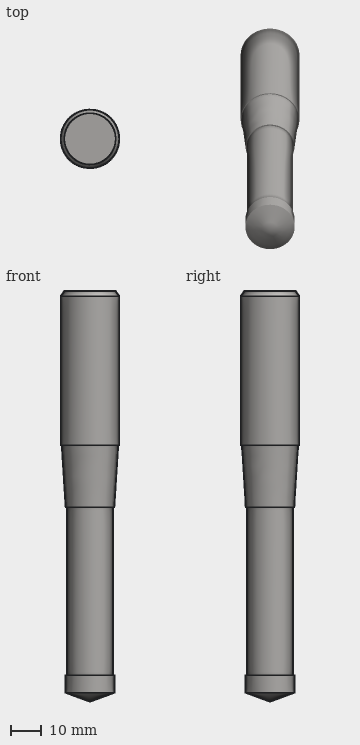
import cadquery as cq

TOTAL_LENGTH = 132.9
SHANK_LENGTH = 50.0
TAPER_LENGTH = 20.1
TIP_TOP = 8.6
POINT_HEIGHT = 2.9

SHANK_DIAMETER = 19.0
TAPER_TOP_DIAMETER = 18.3
TIP_DIAMETER = 16.0
TAPER_BOTTOM_DIAMETER = 15.8
NECK_DIAMETER = 15.0

CHAMFER_WIDTH = 1.2
CHAMFER_HEIGHT = 1.7

POINT_Z = -TOTAL_LENGTH / 2
TIP_TOP_Z = POINT_Z + TIP_TOP
SHANK_TOP_Z = TOTAL_LENGTH / 2
SHANK_BOTTOM_Z = SHANK_TOP_Z - SHANK_LENGTH
TAPER_BOTTOM_Z = SHANK_BOTTOM_Z - TAPER_LENGTH


def revolve_profile(points):
    """Turn a closed (radius, z) outline about the Z axis."""
    return cq.Workplane("XZ").polyline(points).close().revolve(360, (0, 0), (0, 1))


def make_holder():
    """Chamfered shank, tapered shoulder and slim neck, turned as one body."""
    shank_radius = SHANK_DIAMETER / 2
    neck_radius = NECK_DIAMETER / 2
    return revolve_profile([
        (0, TIP_TOP_Z),
        (neck_radius, TIP_TOP_Z),
        (neck_radius, TAPER_BOTTOM_Z),
        (TAPER_BOTTOM_DIAMETER / 2, TAPER_BOTTOM_Z),
        (TAPER_TOP_DIAMETER / 2, SHANK_BOTTOM_Z),
        (shank_radius, SHANK_BOTTOM_Z),
        (shank_radius, SHANK_TOP_Z - CHAMFER_HEIGHT),
        (shank_radius - CHAMFER_WIDTH, SHANK_TOP_Z),
        (0, SHANK_TOP_Z),
    ])


def make_tip():
    """Cutting tip: a short cylinder with a conical point, flush against the neck."""
    tip_radius = TIP_DIAMETER / 2
    return revolve_profile([
        (0, POINT_Z),
        (tip_radius, POINT_Z + POINT_HEIGHT),
        (tip_radius, TIP_TOP_Z),
        (0, TIP_TOP_Z),
    ])


holder = make_holder()
tip = make_tip()

result = cq.Compound.makeCompound([holder.val(), tip.val()])